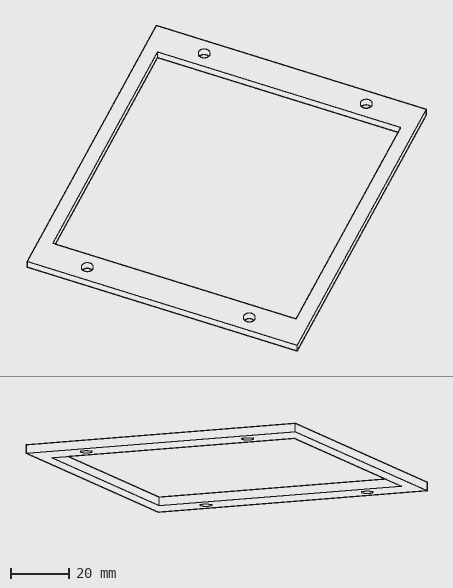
import cadquery as cq

width = 100.0
length = 116.0
thickness = 3.0

side_rail_width = 5.0
end_rail_width = 11.0
opening_width = width - 2 * side_rail_width
opening_length = length - 2 * end_rail_width

hole_diameter = 4.1
hole_spacing_x = 60.0
hole_spacing_y = length - end_rail_width

plate = cq.Workplane("XY").box(width, length, thickness)

frame = plate.faces(">Z").workplane().rect(opening_width, opening_length).cutThruAll()

result = (
    frame.faces(">Z")
    .workplane(origin=(0, 0, 0))
    .rect(hole_spacing_x, hole_spacing_y, forConstruction=True)
    .vertices()
    .hole(hole_diameter)
)